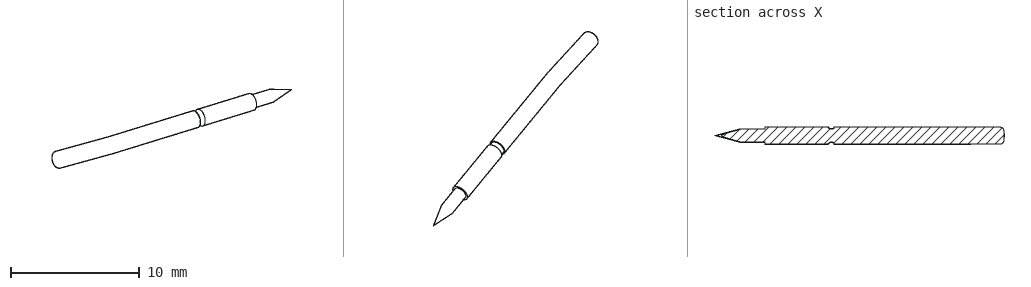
import cadquery as cq
import math

plunger_radius = 0.53
tip_length = 1.96
shoulder_station = 3.84
barrel_radius = 1.37 / 2
groove_bottom = 9.01
groove_end = 9.19
groove_radius = 0.53
groove_arc_radius = 0.3

overall_length = 22.41
bend_angle = 3.0
bend_radius = 4.0
tail_length = 5.0
end_fillet = 0.3

bend_sine = math.sin(math.radians(bend_angle))
bend_cosine = math.cos(math.radians(bend_angle))

end_face_radius = barrel_radius - end_fillet
tail_reach = bend_radius * bend_sine + tail_length * bend_cosine
end_fillet_reach = end_face_radius * bend_sine
bend_station = overall_length - tail_reach - end_fillet_reach


def straight_section():
    """Pointed plunger and grooved barrel, revolved about Y with the tip at the origin."""
    arc_centre = groove_radius + groove_arc_radius
    entry_length = math.sqrt(groove_arc_radius**2 - (arc_centre - barrel_radius) ** 2)
    groove_start = groove_bottom - entry_length
    exit_length = groove_end - groove_bottom
    exit_radius = arc_centre - math.sqrt(groove_arc_radius**2 - exit_length**2)
    return (
        cq.Workplane("XY")
        .moveTo(0, 0)
        .lineTo(plunger_radius, -tip_length)
        .lineTo(plunger_radius, -shoulder_station)
        .lineTo(barrel_radius, -shoulder_station)
        .lineTo(barrel_radius, -groove_start)
        .threePointArc((groove_radius, -groove_bottom), (exit_radius, -groove_end))
        .lineTo(barrel_radius, -groove_end)
        .lineTo(barrel_radius, -bend_station)
        .lineTo(0, -bend_station)
        .close()
        .revolve(360, (0, 0, 0), (0, 1, 0))
    )


def bend():
    """Short elbow that turns the barrel axis from -Y towards -X."""
    return (
        cq.Workplane("XZ", origin=(0, -bend_station, 0))
        .circle(barrel_radius)
        .revolve(bend_angle, (-bend_radius, 1, 0), (-bend_radius, 0, 0))
    )


def tail():
    """Straight tail beyond the bend, with a rounded end."""
    bend_end = (-bend_radius * (1 - bend_cosine), -bend_station - bend_radius * bend_sine, 0)
    tail_direction = (-bend_sine, -bend_cosine, 0)
    tail_start = cq.Plane(origin=bend_end, xDir=(0, 0, 1), normal=tail_direction)
    return (
        cq.Workplane(tail_start)
        .circle(barrel_radius)
        .extrude(tail_length)
        .faces("<Y")
        .edges()
        .fillet(end_fillet)
    )


result = straight_section().union(bend()).union(tail())